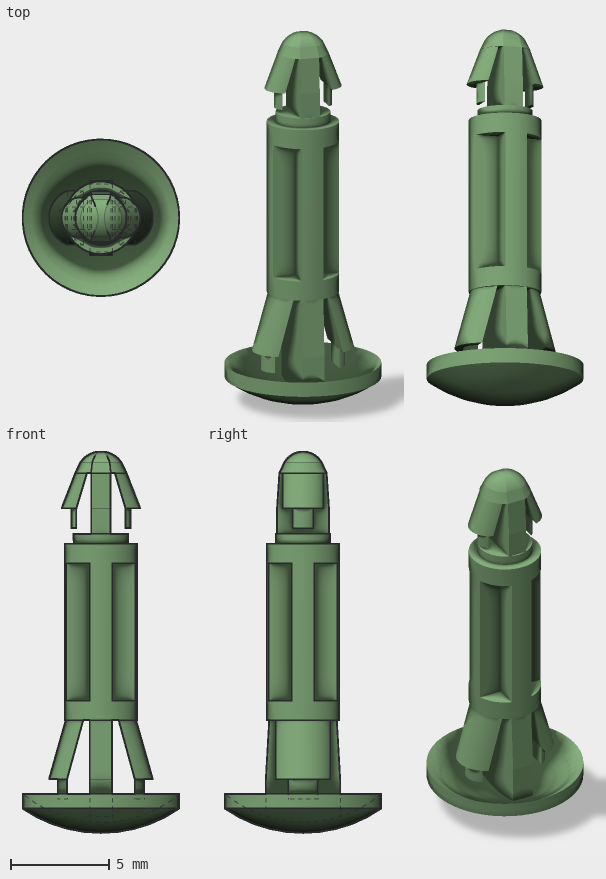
import cadquery as cq

foot_diameter = 8.0
foot_rim_bottom = 1.25
foot_rim_top = 2.0
dish_depth = 1.45

overall_height = 19.45
body_bottom = 5.75
body_length = 9.0
body_top = body_bottom + body_length
band_height = 1.0
collar_height = 0.5
collar_top = body_top + collar_height
nose_height = 1.1
nose_bottom = overall_height - nose_height
cap_height = 0.55
cap_flat_drop = 0.01

body_diameter = 3.7
collar_diameter = 2.8
nose_base_radius = 1.31
cap_radius = 1.05
nose_flat_inset = 0.1

lower_web_thickness = 1.15
lower_web_top_half_width = 1.73
lower_web_half_width = 1.9
upper_web_thickness = 1.0
upper_web_top_half_width = nose_base_radius - nose_flat_inset
upper_web_half_width = 1.33
rib_thickness = lower_web_thickness

peg_length = 1.0
lower_leg_bottom = 2.75
lower_leg_half_width = 1.38
lower_leg_top_span = (0.9, 1.8)
lower_leg_tip_span = (1.72, 2.65)
lower_peg_half_width = 0.745
lower_peg_depth = 0.49
upper_leg_bottom = 16.55
upper_leg_half_width = 1.03
upper_leg_top_span = (0.71, nose_base_radius)
upper_leg_tip_span = (1.25, 2.01)
upper_peg_half_width = 0.52
upper_peg_depth = 0.26


def make_foot():
    """Shallow round dish with a spherical underside."""
    radius = foot_diameter / 2
    dish_bottom = foot_rim_top - dish_depth
    under_sphere = (radius**2 + foot_rim_bottom**2) / (2 * foot_rim_bottom)
    dish_sphere = (radius**2 + dish_depth**2) / (2 * dish_depth)
    return (
        cq.Workplane("XZ")
        .moveTo(0, 0)
        .radiusArc((radius, foot_rim_bottom), -under_sphere)
        .lineTo(radius, foot_rim_top)
        .radiusArc((0, dish_bottom), dish_sphere)
        .close()
        .revolve(360, (0, 0, 0), (0, 1, 0))
    )


def make_cylinder(diameter, bottom, height):
    return cq.Workplane("XY").workplane(offset=bottom).circle(diameter / 2).extrude(height)


def make_body():
    """Round body whose middle is cut down to a cross by four corner flutes."""
    body = make_cylinder(body_diameter, body_bottom, body_length)
    flute_center = rib_thickness / 2 + body_diameter / 2
    flutes = (
        cq.Workplane("XY")
        .workplane(offset=body_bottom + band_height)
        .rect(2 * flute_center, 2 * flute_center, forConstruction=True)
        .vertices()
        .rect(body_diameter, body_diameter)
        .extrude(body_length - 2 * band_height)
    )
    return body.cut(flutes)


def make_web(thickness, bottom, taper_start, top, half_width, top_half_width):
    """Flat web in the YZ plane, straight up to taper_start and tapered above it."""
    return (
        cq.Workplane("YZ")
        .moveTo(-half_width, bottom)
        .lineTo(half_width, bottom)
        .lineTo(half_width, taper_start)
        .lineTo(top_half_width, top)
        .lineTo(-top_half_width, top)
        .lineTo(-half_width, taper_start)
        .close()
        .extrude(thickness / 2, both=True)
    )


def half_nose_profile(plane, base_radius, shoulder_radius, tip_height):
    """Cone flank below a round cap, drawn from the axis outwards and back."""
    shoulder_height = overall_height - cap_height
    cap_rise = tip_height - shoulder_height
    cap_sphere = (shoulder_radius**2 + cap_rise**2) / (2 * cap_rise)
    return (
        cq.Workplane(plane)
        .moveTo(0, nose_bottom)
        .lineTo(base_radius, nose_bottom)
        .lineTo(shoulder_radius, shoulder_height)
        .radiusArc((0, tip_height), -cap_sphere)
        .close()
    )


def make_nose():
    """Revolved nose, flattened on its Y sides by a narrower profile along X."""
    round_tip = overall_height + cap_flat_drop
    nose = half_nose_profile("XZ", nose_base_radius, cap_radius, round_tip)
    nose = nose.revolve(360, (0, 0, 0), (0, 1, 0))
    flat_base = nose_base_radius - nose_flat_inset
    flat_shoulder = cap_radius - nose_flat_inset
    half = half_nose_profile("YZ", flat_base, flat_shoulder, overall_height)
    half = half.extrude(nose_base_radius, both=True)
    flattened = half.union(half.mirror("XZ"))
    return nose.intersect(flattened)


def d_section(sketch, span, half_width):
    """D shape with its flat at the inner X and its arc reaching the outer X."""
    inner, outer = span
    return (
        sketch.moveTo(inner, -half_width)
        .threePointArc((outer, 0), (inner, half_width))
        .close()
    )


def make_leg_pair(bottom, top, tip_span, top_span, half_width, peg_half_width, peg_depth):
    """Two splayed legs, on -X and +X, each with a peg below its tip."""
    tip = d_section(cq.Workplane("XY").workplane(offset=bottom), tip_span, half_width)
    root = tip.workplane(offset=top - bottom)
    leg = d_section(root, top_span, half_width).loft(ruled=True)
    peg_span = (tip_span[0], tip_span[0] + peg_depth)
    peg_plane = cq.Workplane("XY").workplane(offset=bottom - peg_length)
    peg = d_section(peg_plane, peg_span, peg_half_width).extrude(peg_length)
    leg = leg.union(peg)
    return leg, leg.mirror("YZ")


def make_post(foot):
    """Fluted body with a web and two snap legs at each end, seated in the dish."""
    lower_web = make_web(
        lower_web_thickness, 0, lower_leg_bottom, body_bottom,
        lower_web_half_width, lower_web_top_half_width,
    )
    dish_space = make_cylinder(foot_diameter, 0, overall_height).cut(foot)
    seated_web = lower_web.intersect(dish_space).solids(">Z")
    upper_web = make_web(
        upper_web_thickness, collar_top, upper_leg_bottom, nose_bottom,
        upper_web_half_width, upper_web_top_half_width,
    )
    lower_legs = make_leg_pair(
        lower_leg_bottom, body_bottom, lower_leg_tip_span, lower_leg_top_span,
        lower_leg_half_width, lower_peg_half_width, lower_peg_depth,
    )
    upper_legs = make_leg_pair(
        upper_leg_bottom, nose_bottom, upper_leg_tip_span, upper_leg_top_span,
        upper_leg_half_width, upper_peg_half_width, upper_peg_depth,
    )
    post = make_body()
    post = post.union(make_cylinder(collar_diameter, body_top, collar_height))
    for piece in (seated_web, upper_web, make_nose(), *lower_legs, *upper_legs):
        post = post.union(piece)
    return post


foot = make_foot()
post = make_post(foot)
result = cq.Compound.makeCompound([foot.val(), *post.solids().vals()])